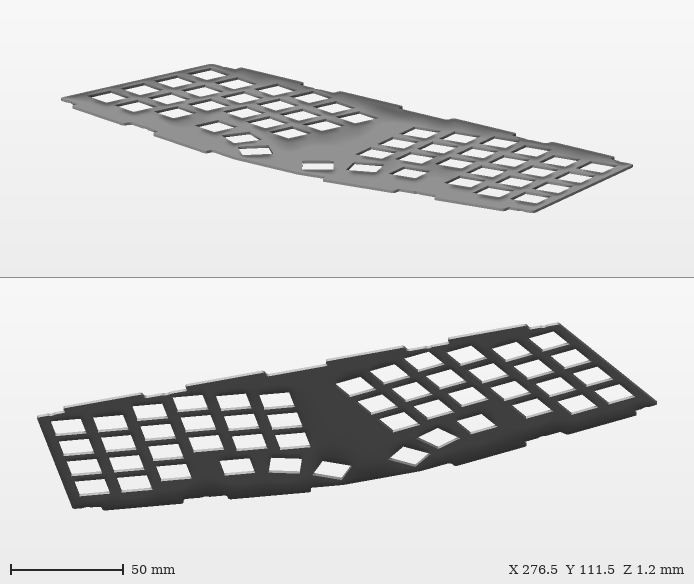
import cadquery as cq
import math

thickness = 1.2
total_length = 276.53
total_width = 111.54
tilt = 10.0
cos_tilt = math.cos(math.radians(tilt))
sin_tilt = math.sin(math.radians(tilt))

key_size = 13.9
key_pitch = 19.05
stagger_step = key_pitch / 8
inner_column_u = 23.25
top_row_v = 25.3
full_column_rows = 4
short_column_rows = 3
columns = [
    (short_column_rows, 0),
    (short_column_rows, 1),
    (short_column_rows, 2),
    (full_column_rows, 0),
    (full_column_rows, -3),
    (full_column_rows, -3),
]
bottom_row_v = top_row_v - (full_column_rows - 1) * key_pitch
straight_thumb_column = 1.5
fanned_thumb_keys = [(36.08, -28.85, 25.0), (18.25, -40.34, 40.0)]

tab_width = 37.3
tab_depth = 4.0
top_y = total_width / 2
top_floor_y = top_y - tab_depth
top_inner_tab_x = 14.5
top_outer_tab_x = 72.3
low_floor_v = -57.02
low_tab_v = low_floor_v - tab_depth
low_inner_tab_u = 23.76
low_outer_tab_u = 80.4
flank_lean = 1.15
middle_low_y = -54.65
corner_radius = 1.25

notch_radius = 3.0
notch_depth = 0.6


def to_plate(u, v):
    """Plate coordinates of a point of the tilted frame."""
    return (u * cos_tilt - v * sin_tilt, u * sin_tilt + v * cos_tilt)


def u_at_x(x, v):
    """u of the point with the given x on a line of constant v."""
    return (x + v * sin_tilt) / cos_tilt


rounding_loss = corner_radius * (cos_tilt + sin_tilt - 1)
side_u = u_at_x(total_length / 2 + rounding_loss, low_floor_v)
side_top_x = (side_u - top_floor_y * sin_tilt) / cos_tilt
middle_low_x = (middle_low_y * cos_tilt - low_floor_v) / sin_tilt


def plate_half():
    """Solid outline of the right half, with the corners of the tabs and of the side rounded."""
    top_inner_end = top_inner_tab_x + tab_width
    top_outer_end = top_outer_tab_x + tab_width
    low_outer_end = low_outer_tab_u + tab_width
    low_inner_end = low_inner_tab_u + tab_width
    rounded_corners = [
        (top_inner_tab_x, top_floor_y),
        (top_inner_tab_x, top_y),
        (top_inner_end, top_y),
        (top_inner_end, top_floor_y),
        (top_outer_tab_x, top_floor_y),
        (top_outer_tab_x, top_y),
        (top_outer_end, top_y),
        (top_outer_end, top_floor_y),
        (side_top_x, top_floor_y),
        to_plate(side_u, low_floor_v),
        to_plate(low_outer_end, low_floor_v),
        to_plate(low_outer_end, low_tab_v),
        to_plate(low_outer_tab_u + flank_lean, low_tab_v),
        to_plate(low_outer_tab_u, low_floor_v),
        to_plate(low_inner_end, low_floor_v),
        to_plate(low_inner_end, low_tab_v),
        to_plate(low_inner_tab_u, low_tab_v),
        to_plate(low_inner_tab_u, low_floor_v),
    ]
    middle_cut = [(0, middle_low_y), (0, top_floor_y)]
    outline = rounded_corners + [(middle_low_x, middle_low_y)] + middle_cut
    half = cq.Workplane("XY").polyline(outline).close().extrude(thickness)
    for x, y in rounded_corners:
        corner = cq.selectors.NearestToPointSelector((x, y, thickness / 2))
        half = half.edges(corner).fillet(corner_radius)
    return half


def notch_centres():
    offset = notch_radius - notch_depth
    top_centres = [
        ((top_inner_tab_x + tab_width + top_outer_tab_x) / 2, top_floor_y + offset),
        ((top_outer_tab_x + tab_width + side_top_x) / 2, top_floor_y + offset),
    ]
    low_us = [
        (low_inner_tab_u + tab_width + low_outer_tab_u) / 2,
        (low_outer_tab_u + tab_width + side_u) / 2,
    ]
    return top_centres + [to_plate(u, low_floor_v - offset) for u in low_us]


def key_places():
    """(x, y, rotation) of every switch opening of the half."""
    places = []
    for column, (rows, stagger) in enumerate(columns):
        u = inner_column_u + column * key_pitch
        for row in range(rows):
            v = top_row_v + stagger * stagger_step - row * key_pitch
            places.append((*to_plate(u, v), tilt))
    thumb_u = inner_column_u + straight_thumb_column * key_pitch
    places.append((*to_plate(thumb_u, bottom_row_v), tilt))
    return places + fanned_thumb_keys


def key_cutter(x, y, rotation):
    cutter = cq.Workplane("XY").rect(key_size, key_size).extrude(thickness)
    return cutter.rotate((0, 0, 0), (0, 0, 1), rotation).translate((x, y, 0))


half = plate_half()
notches = cq.Workplane("XY").pushPoints(notch_centres()).circle(notch_radius).extrude(thickness)
half = half.cut(notches)
for place in key_places():
    half = half.cut(key_cutter(*place))

result = half.union(half.mirror("YZ")).clean()